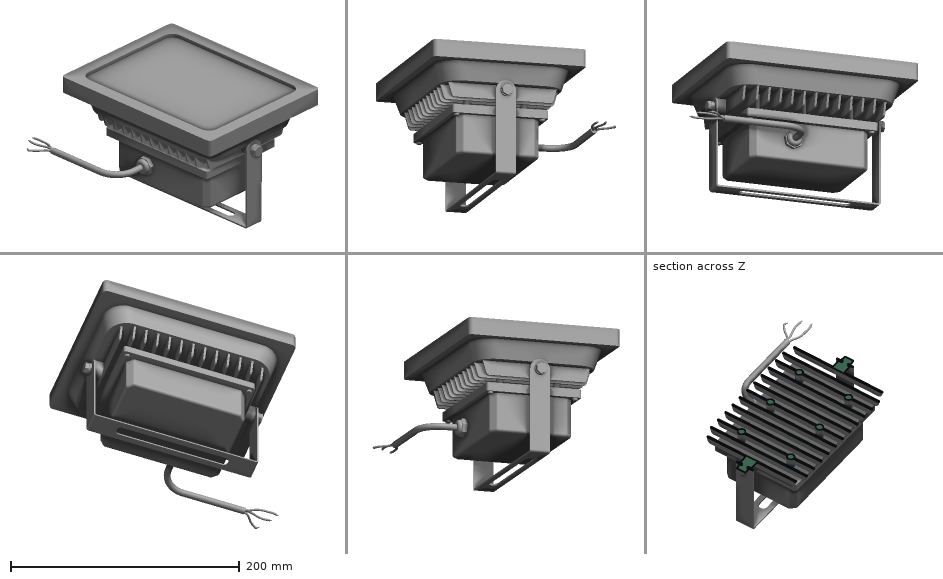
import cadquery as cq
import math


RIM_X = 180.0
RIM_Y = 140.0
RIM_DEPTH = 15.5
RIM_CORNER = 4.0
RIM_BORDER = 12.0
LENS_CORNER = 10.1
LENS_RECESS = 3.7

HOUSING_TOP_X = 162.0
HOUSING_TOP_Y = 121.7
HOUSING_DEPTH = 16.8
HOUSING_CORNER = 19.4
SIDE_INSET = 5.0
SIDE_SLOPE = SIDE_INSET / HOUSING_DEPTH
HOUSING_BOTTOM_X = HOUSING_TOP_X - 2 * SIDE_INSET
HOUSING_BOTTOM_Y = HOUSING_TOP_Y - 2 * SIDE_INSET
HOUSING_BOTTOM_Z = -(RIM_DEPTH + HOUSING_DEPTH)

FIN_COUNT = 13
FIN_PITCH = 11.0
FIN_THICKNESS = 2.0
FIN_HEIGHT = 12.7
FIN_LENGTH = 107.3
END_FIN_LENGTH = 99.0
FIN_CORNER = 3.0
FIN_BOTTOM_Z = HOUSING_BOTTOM_Z - FIN_HEIGHT
END_FIN_X = FIN_PITCH * (FIN_COUNT - 1) / 2

POST_DIAMETER = 7.1
FINS_PER_POST = 4
POST_SPACING_X = FINS_PER_POST * FIN_PITCH
POST_SPACING_Y = 52.8

FLANGE_X = 122.5
FLANGE_Y = 87.7
FLANGE_THICKNESS = 7.5
FLANGE_CORNER = 2.2
FLANGE_TOP_Z = -50.2
FLANGE_BOTTOM_Z = FLANGE_TOP_Z - FLANGE_THICKNESS
BOX_X = 111.2
BOX_Y = 75.8
BOX_BOTTOM_Z = -92.6
BOX_CHAMFER = 5.4
BOX_CHAMFER_BLEND = 2.0
BOX_BOTTOM_FILLET = 2.5
SCREW_DIAMETER = 4.7
SCREW_HEIGHT = 2.0
SCREW_FILLET = 0.9
SCREW_SPACING_X = 114.2
SCREW_SPACING_Y = 78.5

NUT_SIDES = 7
GLAND_X = -16.8
GLAND_Z = -73.5
GLAND_NUT_DIAMETER = 16.8
GLAND_NUT_LENGTH = 4.0
GLAND_NUT_ANGLE = -90
GLAND_CAP_DIAMETER = 14.0
GLAND_CAP_LENGTH = 3.9
GLAND_CAP_FILLET = 2.8
CABLE_DIAMETER = 6.0
CABLE_BEND = 20.5
CABLE_RUN_Y = -75.5
CABLE_END_X = -95.5
GLAND_NUT_END_Y = -BOX_Y / 2 - GLAND_NUT_LENGTH
GLAND_CAP_END_Y = GLAND_NUT_END_Y - GLAND_CAP_LENGTH

WIRE_DIAMETER = 2.0
CORE_DIAMETER = 0.9
WIRES = [
    ((1.5, 0.0), [(-3.0, 0.5), (-7.8, 2.8), (-14.2, 4.7), (-20.0, 5.0), (-28.0, 4.3)], (-30.0, 3.9)),
    ((-0.6, 1.5), [(-5.2, 0.0), (-10.1, -1.3), (-14.9, -2.5), (-20.0, -3.0), (-24.8, -2.4)], (-26.7, -2.2)),
    ((-2.0, 0.0), [(-2.5, -0.5), (-6.7, -4.3), (-11.6, -9.7), (-14.6, -11.8), (-16.8, -11.6)], (-18.5, -10.3)),
]

BOLT_Z = -38.8
BOSS_RADIUS = BOLT_Z - FIN_BOTTOM_Z
SHANK_DIAMETER = 6.5
WASHER_DIAMETER = 10.3
WASHER_THICKNESS = 2.5
HEAD_DIAMETER = 10.1
HEAD_THICKNESS = 3.2
LEFT_HEAD_ANGLE = -90
RIGHT_HEAD_ANGLE = 0

BRACKET_SPAN = 154.0
BRACKET_WIDTH = 18.3
BRACKET_THICKNESS = 1.5
BRACKET_BOTTOM_Z = -114.0
BRACKET_BEND = 2.2
SLOT_LENGTH = 104.7
SLOT_WIDTH = 8.0
BRACKET_INSIDE_X = BRACKET_SPAN / 2 - BRACKET_THICKNESS
BRACKET_OUTSIDE_X = BRACKET_SPAN / 2


def rounded_block(size_x, size_y, top_z, depth, corner):
    """Block with rounded vertical edges that hangs down from top_z."""
    block = cq.Workplane("XY", origin=(0, 0, top_z)).rect(size_x, size_y).extrude(-depth)
    return block.edges("|Z").fillet(corner)


def cylinder_x(start_x, length, diameter):
    """Cylinder on the swivel axis; a negative length runs toward -X."""
    plane = cq.Workplane("YZ", origin=(start_x, 0, BOLT_Z))
    return plane.circle(diameter / 2).extrude(length)


def polygon_points(sides, diameter, start_angle):
    """Corners of a regular polygon that fits inside a circle."""
    angles = [math.radians(start_angle + 360 * i / sides) for i in range(sides)]
    return [(diameter / 2 * math.cos(a), diameter / 2 * math.sin(a)) for a in angles]


def make_rim():
    rim = rounded_block(RIM_X, RIM_Y, 0, RIM_DEPTH, RIM_CORNER)
    lens_x = RIM_X - 2 * RIM_BORDER
    lens_y = RIM_Y - 2 * RIM_BORDER
    return rim.cut(rounded_block(lens_x, lens_y, 0, LENS_RECESS, LENS_CORNER))


def make_tapered_housing():
    top = cq.Sketch().rect(HOUSING_TOP_X, HOUSING_TOP_Y).vertices().fillet(HOUSING_CORNER)
    bottom = cq.Sketch().rect(HOUSING_BOTTOM_X, HOUSING_BOTTOM_Y).vertices().fillet(HOUSING_CORNER)
    plane = cq.Workplane("XY", origin=(0, 0, HOUSING_BOTTOM_Z))
    return plane.placeSketch(bottom, top.moved(cq.Location(cq.Vector(0, 0, HOUSING_DEPTH)))).loft()


def make_fin(center_x, length):
    """Plate across Y whose ends lean inward and whose lower corners are rounded."""
    half_top = length / 2
    half_bottom = half_top - FIN_HEIGHT * SIDE_SLOPE
    outline = [
        (-half_top, HOUSING_BOTTOM_Z),
        (half_top, HOUSING_BOTTOM_Z),
        (half_bottom, FIN_BOTTOM_Z),
        (-half_bottom, FIN_BOTTOM_Z),
    ]
    plane = cq.Workplane("YZ", origin=(center_x - FIN_THICKNESS / 2, 0, 0))
    fin = plane.polyline(outline).close().extrude(FIN_THICKNESS)
    return fin.edges("|X and <Z").fillet(FIN_CORNER)


def make_fins():
    fins = cq.Workplane("XY")
    for i in range(FIN_COUNT):
        is_end = i in (0, FIN_COUNT - 1)
        length = END_FIN_LENGTH if is_end else FIN_LENGTH
        fins = fins.union(make_fin(i * FIN_PITCH - END_FIN_X, length))
    return fins


def make_posts():
    plane = cq.Workplane("XY", origin=(0, 0, FLANGE_TOP_Z))
    posts = plane.rarray(POST_SPACING_X, POST_SPACING_Y, 3, 2).circle(POST_DIAMETER / 2)
    return posts.extrude(HOUSING_BOTTOM_Z - FLANGE_TOP_Z)


def make_driver_box():
    flange = rounded_block(FLANGE_X, FLANGE_Y, FLANGE_TOP_Z, FLANGE_THICKNESS, FLANGE_CORNER)
    box_plane = cq.Workplane("XY", origin=(0, 0, FLANGE_BOTTOM_Z))
    box = box_plane.rect(BOX_X, BOX_Y).extrude(BOX_BOTTOM_Z - FLANGE_BOTTOM_Z)
    box = box.edges("|Z").chamfer(BOX_CHAMFER)
    box = box.edges("|Z").fillet(BOX_CHAMFER_BLEND)
    box = box.faces("<Z").edges().fillet(BOX_BOTTOM_FILLET)
    screws = box_plane.rarray(SCREW_SPACING_X, SCREW_SPACING_Y, 2, 2).circle(SCREW_DIAMETER / 2)
    screws = screws.extrude(-SCREW_HEIGHT).faces("<Z").edges().fillet(SCREW_FILLET)
    return flange.union(box).union(screws)


def make_gland():
    """Nut against the -Y wall of the driver box, with a domed cap in front of it."""
    nut_plane = cq.Workplane("XZ", origin=(GLAND_X, -BOX_Y / 2, GLAND_Z))
    nut = nut_plane.polyline(polygon_points(NUT_SIDES, GLAND_NUT_DIAMETER, GLAND_NUT_ANGLE)).close()
    nut = nut.extrude(GLAND_NUT_LENGTH)
    cap_plane = cq.Workplane("XZ", origin=(GLAND_X, GLAND_NUT_END_Y, GLAND_Z))
    cap = cap_plane.circle(GLAND_CAP_DIAMETER / 2).extrude(GLAND_CAP_LENGTH)
    return nut.union(cap.faces("<Y").edges().fillet(GLAND_CAP_FILLET))


def make_cable():
    """Cable that leaves the gland toward -Y and turns a quarter circle toward -X."""
    bend_start_y = CABLE_RUN_Y + CABLE_BEND
    bend_end_x = GLAND_X - CABLE_BEND
    path = (
        cq.Workplane("XY", origin=(0, 0, GLAND_Z))
        .moveTo(GLAND_X, GLAND_CAP_END_Y)
        .lineTo(GLAND_X, bend_start_y)
        .radiusArc((bend_end_x, CABLE_RUN_Y), CABLE_BEND)
        .lineTo(CABLE_END_X, CABLE_RUN_Y)
    )
    section = cq.Workplane("XZ", origin=(GLAND_X, GLAND_CAP_END_Y, GLAND_Z))
    return section.circle(CABLE_DIAMETER / 2).sweep(path)


def make_wire(exit_offset, course, tip):
    """Insulated wire along a smooth curve, with a thin bare core at its end."""
    offset_y, offset_z = exit_offset
    start = cq.Vector(CABLE_END_X, CABLE_RUN_Y + offset_y, GLAND_Z + offset_z)
    points = [start] + [start + cq.Vector(x, y, 0) for x, y in course]
    core_start = points[-1]
    core_run = start + cq.Vector(tip[0], tip[1], 0) - core_start
    path = cq.Workplane("XY").spline(points, tangents=[cq.Vector(-1, 0, 0), core_run])
    section = cq.Workplane("YZ", origin=start.toTuple())
    wire = section.circle(WIRE_DIAMETER / 2).sweep(path)
    core = cq.Solid.makeCylinder(CORE_DIAMETER / 2, core_run.Length, core_start, core_run)
    return wire.union(cq.Workplane(core))


def make_bolt_side(side, head_angle):
    """Boss, shank, washer and bolt head at one end of the swivel axis; side is -1 or +1."""
    boss_length = BRACKET_INSIDE_X - END_FIN_X
    boss_height = HOUSING_BOTTOM_Z - BOLT_Z
    boss = cylinder_x(side * END_FIN_X, side * boss_length, 2 * BOSS_RADIUS)
    neck = cq.Workplane("YZ", origin=(side * END_FIN_X, 0, BOLT_Z + boss_height / 2))
    neck = neck.rect(2 * BOSS_RADIUS, boss_height).extrude(side * boss_length)
    shank = cylinder_x(side * BRACKET_INSIDE_X, side * BRACKET_THICKNESS, SHANK_DIAMETER)
    washer = cylinder_x(side * BRACKET_OUTSIDE_X, side * WASHER_THICKNESS, WASHER_DIAMETER)
    head_x = side * (BRACKET_OUTSIDE_X + WASHER_THICKNESS)
    head = cq.Workplane("YZ", origin=(head_x, 0, BOLT_Z))
    head = head.polyline(polygon_points(NUT_SIDES, HEAD_DIAMETER, head_angle)).close()
    head = head.extrude(side * HEAD_THICKNESS)
    return boss.union(neck).union(shank).union(washer).union(head)


def make_arm_profile(start_x, length):
    """Upright bracket arm with a round top centred on the swivel axis."""
    half_width = BRACKET_WIDTH / 2
    return (
        cq.Workplane("YZ", origin=(start_x, 0, 0))
        .moveTo(-half_width, BRACKET_BOTTOM_Z)
        .lineTo(half_width, BRACKET_BOTTOM_Z)
        .lineTo(half_width, BOLT_Z)
        .threePointArc((0, BOLT_Z + half_width), (-half_width, BOLT_Z))
        .close()
        .extrude(length)
    )


def make_bracket():
    """Strip bent to a U, with round arm ends, bolt holes and a slot in the base."""
    outer = make_arm_profile(-BRACKET_OUTSIDE_X, BRACKET_SPAN)
    outer = outer.edges("|Y and <Z").fillet(BRACKET_BEND)
    opening_height = BOLT_Z + BRACKET_WIDTH - BRACKET_BOTTOM_Z
    opening = cq.Workplane("XY", origin=(0, 0, BRACKET_BOTTOM_Z + BRACKET_THICKNESS))
    opening = opening.rect(2 * BRACKET_INSIDE_X, 2 * BRACKET_WIDTH).extrude(opening_height)
    opening = opening.edges("|Y and <Z").fillet(BRACKET_BEND - BRACKET_THICKNESS)
    bolt_holes = cylinder_x(-BRACKET_OUTSIDE_X, BRACKET_SPAN, SHANK_DIAMETER)
    slot = cq.Workplane("XY", origin=(0, 0, BRACKET_BOTTOM_Z))
    slot = slot.slot2D(SLOT_LENGTH, SLOT_WIDTH).extrude(BRACKET_THICKNESS)
    return outer.cut(opening).cut(bolt_holes).cut(slot)


def make_lamp():
    lamp = make_rim().union(make_tapered_housing())
    lamp = lamp.cut(make_arm_profile(BRACKET_INSIDE_X, BRACKET_WIDTH))
    lamp = lamp.cut(make_arm_profile(-BRACKET_INSIDE_X, -BRACKET_WIDTH))
    lamp = lamp.union(make_fins()).union(make_posts())
    lamp = lamp.union(make_bolt_side(-1, LEFT_HEAD_ANGLE))
    lamp = lamp.union(make_bolt_side(1, RIGHT_HEAD_ANGLE))
    lamp = lamp.union(make_driver_box()).union(make_gland()).union(make_cable())
    for exit_offset, course, tip in WIRES:
        lamp = lamp.union(make_wire(exit_offset, course, tip))
    return lamp


lamp = make_lamp()
bracket = make_bracket()
result = cq.Compound.makeCompound([lamp.solids().val(), bracket.solids().val()])